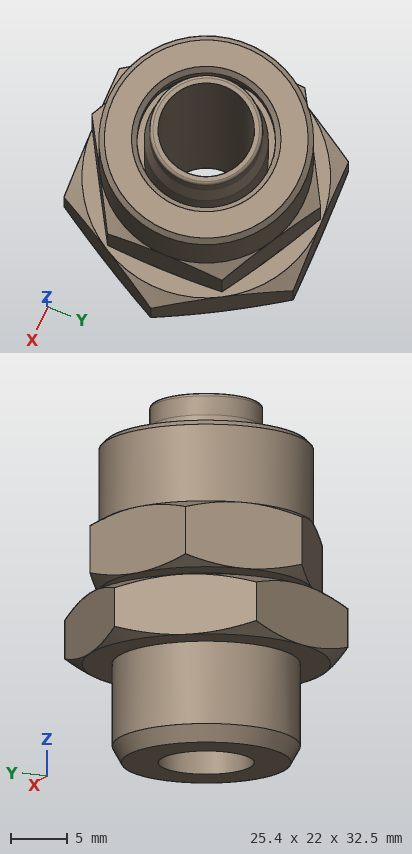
import cadquery as cq
import math

TOTAL_HEIGHT = 32.5
FLANGE_BOTTOM = 9.0
FLANGE_TOP = 14.5
NUT_BOTTOM = 15.5
NUT_HEX_TOP = 21.5
NUT_TOP = 29.0

BORE_DIAMETER = 8.5
THREAD_DIAMETER = 16.67
THREAD_END_DIAMETER = 15.0
THREAD_LEAD_HEIGHT = 1.5
FLANGE_ACROSS_FLATS = 22.0
NECK_DIAMETER = 14.5
NECK_TOP = NUT_HEX_TOP

SPIGOT_DIAMETER = 10.0
SPIGOT_EDGE_RADIUS = 0.3
BARB_DIAMETER = 11.0
BARB_TOP = 30.5
BARB_BULGE_BOTTOM = 28.47
BARB_MIDDLE_DIAMETER = 10.75
BARB_MIDDLE = 29.0

NUT_ACROSS_FLATS = 19.0
NUT_EDGE_CHAMFER = 0.5
NUT_LIP_DIAMETER = 12.25
NUT_LIP_HEIGHT = 1.5

HEX_CHAMFER_ANGLE = 30.0


def chamfered_hexagon(across_flats, bottom, top, turn):
    """Hexagonal prism whose corners are cut by cones starting at the inscribed circle."""
    flat_radius = across_flats / 2
    corner_radius = flat_radius / math.cos(math.pi / 6)
    corner_drop = (corner_radius - flat_radius) * math.tan(math.radians(HEX_CHAMFER_ANGLE))
    prism = (
        cq.Workplane("XY")
        .workplane(offset=bottom)
        .polygon(6, 2 * corner_radius)
        .extrude(top - bottom)
        .rotate((0, 0, 0), (0, 0, 1), turn)
    )
    envelope = (
        cq.Workplane("XZ")
        .moveTo(0, bottom)
        .lineTo(flat_radius, bottom)
        .lineTo(corner_radius, bottom + corner_drop)
        .lineTo(corner_radius, top - corner_drop)
        .lineTo(flat_radius, top)
        .lineTo(0, top)
        .close()
        .revolve(360, (0, 0, 0), (0, 1, 0))
    )
    return prism.intersect(envelope)


def make_fitting():
    """Threaded body with its hexagonal flange, neck, barbed spigot and through bore."""
    turned_shape = (
        cq.Workplane("XZ")
        .moveTo(0, 0)
        .lineTo(THREAD_END_DIAMETER / 2, 0)
        .lineTo(THREAD_DIAMETER / 2, THREAD_LEAD_HEIGHT)
        .lineTo(THREAD_DIAMETER / 2, FLANGE_TOP)
        .lineTo(NECK_DIAMETER / 2, FLANGE_TOP)
        .lineTo(NECK_DIAMETER / 2, NECK_TOP)
        .lineTo(BARB_DIAMETER / 2, NECK_TOP)
        .lineTo(BARB_DIAMETER / 2, BARB_BULGE_BOTTOM)
        .threePointArc((BARB_MIDDLE_DIAMETER / 2, BARB_MIDDLE), (SPIGOT_DIAMETER / 2, BARB_TOP))
        .lineTo(SPIGOT_DIAMETER / 2, TOTAL_HEIGHT)
        .lineTo(0, TOTAL_HEIGHT)
        .close()
        .revolve(360, (0, 0, 0), (0, 1, 0))
        .faces(">Z")
        .edges()
        .fillet(SPIGOT_EDGE_RADIUS)
    )
    flange = chamfered_hexagon(FLANGE_ACROSS_FLATS, FLANGE_BOTTOM, FLANGE_TOP, 0)
    bore = cq.Workplane("XY").circle(BORE_DIAMETER / 2).extrude(TOTAL_HEIGHT)
    return turned_shape.union(flange).cut(bore)


def make_nut():
    """Union nut bored to fit the neck, with a round collar and an inward lip above its hexagon."""
    collar = (
        cq.Workplane("XY")
        .workplane(offset=NUT_BOTTOM)
        .circle(NUT_ACROSS_FLATS / 2)
        .extrude(NUT_TOP - NUT_BOTTOM)
        .faces(">Z")
        .edges()
        .chamfer(NUT_EDGE_CHAMFER)
    )
    hexagon = chamfered_hexagon(NUT_ACROSS_FLATS, NUT_BOTTOM, NUT_HEX_TOP, 30)
    lip_bottom = NUT_TOP - NUT_LIP_HEIGHT
    mouth_radius = NUT_LIP_DIAMETER / 2 + NUT_EDGE_CHAMFER
    opening = (
        cq.Workplane("XZ")
        .moveTo(0, NUT_BOTTOM)
        .lineTo(NECK_DIAMETER / 2, NUT_BOTTOM)
        .lineTo(NECK_DIAMETER / 2, lip_bottom)
        .lineTo(NUT_LIP_DIAMETER / 2, lip_bottom)
        .lineTo(NUT_LIP_DIAMETER / 2, NUT_TOP - NUT_EDGE_CHAMFER)
        .lineTo(mouth_radius, NUT_TOP)
        .lineTo(0, NUT_TOP)
        .close()
        .revolve(360, (0, 0, 0), (0, 1, 0))
    )
    return collar.union(hexagon).cut(opening)


fitting = make_fitting()
nut = make_nut()
result = cq.Compound.makeCompound([fitting.val(), nut.val()])